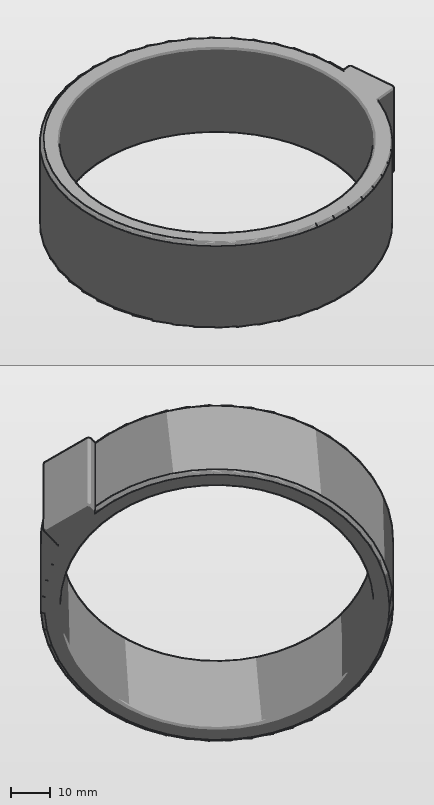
import cadquery as cq
import math

ring_diameter = 89.0
bore_diameter = 79.05
ring_height = 27.0
edge_radius = 1.0

tab_width = 15.0
tab_tilt = 26.3
tab_face_distance = 46.65
tab_side_distance = 20.3
root_radius = 0.5


def make_tab():
    """Block from the ring axis to the tab face, with its two outer corners rounded."""
    block = cq.Workplane("XY").box(tab_width, tab_face_distance, ring_height, centered=False)
    block = block.edges("|Z and >Y").fillet(edge_radius)
    block = block.translate((tab_side_distance - tab_width, 0, 0))
    return block.rotate((0, 0, 0), (0, 0, 1), tab_tilt)


def far_root_point():
    """Middle of the upright edge where the far side of the tab meets the ring."""
    ring_radius = ring_diameter / 2
    angle = math.radians(tab_tilt) + math.acos(tab_side_distance / ring_radius)
    return (ring_radius * math.cos(angle), ring_radius * math.sin(angle), ring_height / 2)


def make_band():
    """Ring and tab as one solid, bored through, with a rounded far root and rounded rims."""
    disc = cq.Workplane("XY").circle(ring_diameter / 2).extrude(ring_height)
    bore = cq.Workplane("XY").circle(bore_diameter / 2).extrude(ring_height)
    body = disc.union(make_tab())
    body = body.edges(cq.selectors.NearestToPointSelector(far_root_point())).fillet(root_radius)
    body = body.cut(bore)
    return body.faces("<Z or >Z").edges().fillet(edge_radius)


band = make_band()

result = cq.Compound.makeCompound([band.val()])